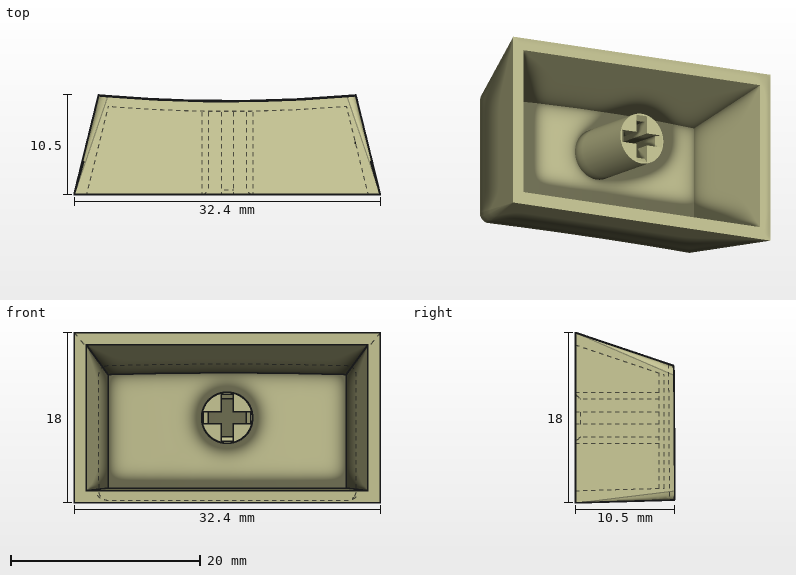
import cadquery as cq


rim_width = 32.35
rim_height = 18.0
cap_depth = 10.52
side_inset = 2.59
upper_inset = 3.54
lower_inset = 0.3
top_corner_radius = 1.0
rim_corner_radius = 0.01

dish_sag = 0.62
dish_tilt = 0.4
wall_thickness = 1.3
top_thickness = 1.1

stem_diameter = 5.4
cross_length = 4.0
cross_arm_width = 1.3
lead_in = 0.5

top_half_width = rim_width / 2 - side_inset
dish_radius = (top_half_width**2 + dish_sag**2) / (2 * dish_sag)
dish_axis_y = cap_depth - dish_sag + dish_radius
mouth_length = cross_length + 2 * lead_in


def rim_plane():
    """Workplane of the rim, with local x along +X, local y along +Z and its normal along -Y."""
    return cq.Workplane("XZ")


def section(wall, depth):
    """Width, height and Z centre of the tapered cap at a depth, inside a given wall."""
    taper = depth / cap_depth
    width = rim_width - 2 * (side_inset * taper + wall)
    height = rim_height - (upper_inset + lower_inset) * taper - 2 * wall
    centre_z = (lower_inset - upper_inset) * taper / 2
    return width, height, centre_z


def rounded_section(depth, corner_radius):
    """Outer section at a depth, with rounded corners, placed relative to the rim plane."""
    width, height, centre_z = section(0, depth)
    outline = cq.Sketch().rect(width, height).vertices().fillet(corner_radius)
    return outline.moved(cq.Location(cq.Vector(0, centre_z, -depth)))


def tapered_core():
    """Tapered, sharp-cornered inside of the skirt, reaching the full cap depth."""
    rim_w, rim_h, rim_z = section(wall_thickness, 0)
    end_w, end_h, end_z = section(wall_thickness, cap_depth)
    return (
        rim_plane()
        .center(0, rim_z)
        .rect(rim_w, rim_h)
        .workplane(offset=-cap_depth)
        .center(0, end_z - rim_z)
        .rect(end_w, end_h)
        .loft(ruled=True)
    )


def dish_cylinder(radius):
    """Cylinder along Z, concentric with the dish of the top."""
    return (
        cq.Workplane("XY", origin=(0, dish_axis_y, -rim_height))
        .circle(radius)
        .extrude(2 * rim_height)
    )


def dished_top_cutter():
    """Dish cylinder, tilted about the -Z edge of the top."""
    pivot_z = lower_inset - rim_height / 2
    return dish_cylinder(dish_radius).rotate((0, cap_depth, pivot_z), (1, cap_depth, pivot_z), dish_tilt)


def floor_cutter():
    """Untilted cylinder whose surface is the cavity floor."""
    return dish_cylinder(dish_radius + top_thickness)


def outer_body():
    rim = rounded_section(0, rim_corner_radius)
    top = rounded_section(cap_depth, top_corner_radius)
    return rim_plane().placeSketch(rim, top).loft(ruled=True).cut(dished_top_cutter())


def cavity():
    return tapered_core().cut(floor_cutter())


def stem():
    """Round post from the rim plane into the dished top."""
    stem_length = cap_depth - dish_sag - top_thickness / 2
    return rim_plane().circle(stem_diameter / 2).extrude(-stem_length)


def cross_arm():
    """Socket slot along X down to the cap floor, with its two ends chamfered at the mouth."""
    return (
        cq.Workplane("XY")
        .moveTo(-mouth_length / 2, 0)
        .lineTo(mouth_length / 2, 0)
        .lineTo(cross_length / 2, lead_in)
        .lineTo(cross_length / 2, cap_depth)
        .lineTo(-cross_length / 2, cap_depth)
        .lineTo(-cross_length / 2, lead_in)
        .close()
        .extrude(cross_arm_width / 2, both=True)
    )


def cross_socket():
    upright_arm = cross_arm().rotate((0, 0, 0), (0, 1, 0), 90)
    return cross_arm().union(upright_arm).cut(floor_cutter())


result = outer_body().cut(cavity()).union(stem()).cut(cross_socket())